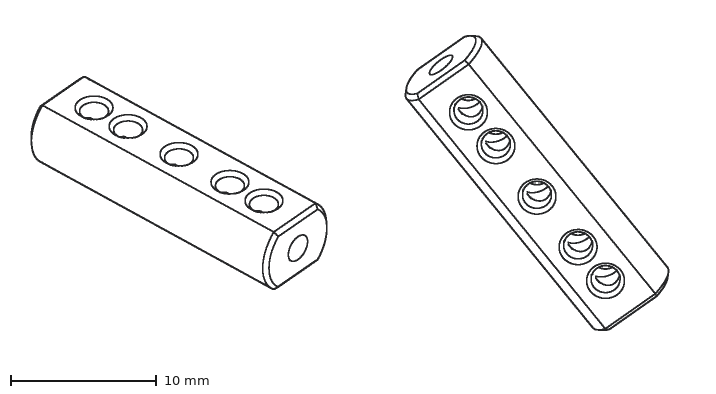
import cadquery as cq

length = 21.88
bar_diameter = 6.6
height_over_flats = 5.0
end_chamfer = 0.3

hole_diameter = 2.0
countersink_diameter = 2.6
inner_hole_offset = 4.68
outer_hole_offset = 7.81
hole_positions = (-outer_hole_offset, -inner_hole_offset, 0, inner_hole_offset, outer_hole_offset)


def flatted_bar():
    """Bar cut down to two flats, with every end edge chamfered."""
    bar = cq.Workplane("YZ").circle(bar_diameter / 2).extrude(length / 2, both=True)
    flats = cq.Workplane("XY").box(length, bar_diameter, height_over_flats)
    return bar.intersect(flats).faces("<X or >X").chamfer(end_chamfer)


def lengthwise_bore():
    """Plain bore running the full length of the bar."""
    return cq.Workplane("YZ").circle(hole_diameter / 2).extrude(length / 2, both=True)


def countersunk_hole():
    """Through hole along Z with a 45 degree countersink at each flat."""
    top = height_over_flats / 2
    hole_radius = hole_diameter / 2
    countersink_radius = countersink_diameter / 2
    shoulder = top - (countersink_radius - hole_radius)
    profile = [
        (0, -top),
        (countersink_radius, -top),
        (hole_radius, -shoulder),
        (hole_radius, shoulder),
        (countersink_radius, top),
        (0, top),
    ]
    return cq.Workplane("XZ").polyline(profile).close().revolve(360, (0, 0), (0, 1))


result = flatted_bar().cut(lengthwise_bore())
for x in hole_positions:
    result = result.cut(countersunk_hole().translate((x, 0, 0)))